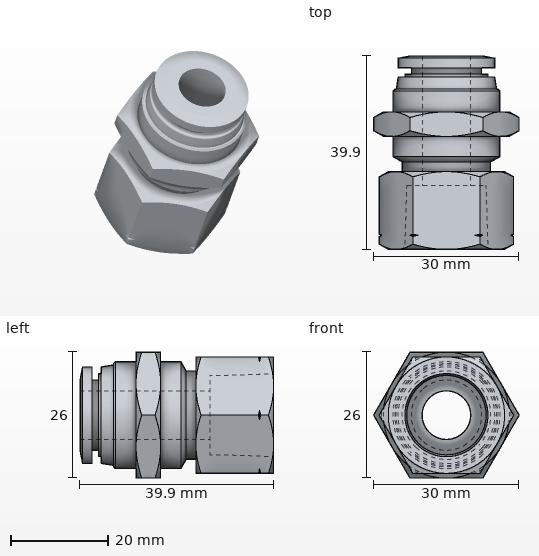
import cadquery as cq
import math

TOTAL_LENGTH = 39.85
CHAMFER_SLOPE = math.tan(math.radians(30))

END_FLATS = 24.0
END_LENGTH = 16.0
GROOVE_Y = 2.9
GROOVE_ROOT_RADIUS = 13.35
GROOVE_HALF_WIDTH = 0.25

NUT_FLATS = 26.0
NUT_START = 23.27
NUT_END = 28.35

NECK_RADIUS = 9.13
BODY_START = 18.0
BODY_RADIUS = 11.05
BODY_END = 33.0
BODY_EDGE_CHAMFER = 0.4
CAP_BASE_RADIUS = 10.35
CAP_TOP_RADIUS = 9.95
CAP_EDGE_ROUND = 0.3
CAP_END = 35.55
COLLAR_RADIUS = 8.55
COLLAR_END = 36.1

STEM_RADIUS = 7.25
FLANGE_START = 37.38
FLANGE_RADIUS = 9.95
FLANGE_RIM_END = 39.37
FLANGE_FACE_RADIUS = 7.5

THREAD_MOUTH_RADIUS = 8.55
THREAD_ROOT_RADIUS = 8.15
THREAD_DEPTH = 13.15
BORE_RADIUS = 5.0


def revolve_profile(points):
    """Revolve a closed (radius, y) outline about the Y axis."""
    outline = cq.Workplane("XY").polyline(points).close()
    return outline.revolve(360, (0, 0, 0), (0, 1, 0))


def chamfered_hexagon(flats, start, end):
    """Hexagonal prism along Y, corners on X, with both ends turned conical."""
    face_radius = flats / 2
    corner_radius = face_radius / math.cos(math.radians(30))
    chamfer_height = (corner_radius - face_radius) * CHAMFER_SLOPE
    prism = (
        cq.Workplane("XZ", origin=(0, start, 0))
        .polygon(6, 2 * corner_radius)
        .extrude(start - end)
    )
    envelope = revolve_profile([
        (0, start),
        (face_radius, start),
        (corner_radius, start + chamfer_height),
        (corner_radius, end - chamfer_height),
        (face_radius, end),
        (0, end),
    ])
    return prism.intersect(envelope)


def corner_groove():
    """V-shaped ring that nicks only the corners of the female end."""
    outer_radius = END_FLATS / 2 / math.cos(math.radians(30))
    return revolve_profile([
        (GROOVE_ROOT_RADIUS, GROOVE_Y),
        (outer_radius, GROOVE_Y - GROOVE_HALF_WIDTH),
        (outer_radius, GROOVE_Y + GROOVE_HALF_WIDTH),
    ])


def turned_body():
    """Neck, cylindrical body, collar and release ring."""
    lead_height = (BODY_RADIUS - NECK_RADIUS) * CHAMFER_SLOPE
    return revolve_profile([
        (0, 0),
        (NECK_RADIUS, 0),
        (NECK_RADIUS, BODY_START),
        (BODY_RADIUS, BODY_START + lead_height),
        (BODY_RADIUS, BODY_END - BODY_EDGE_CHAMFER),
        (BODY_RADIUS - BODY_EDGE_CHAMFER, BODY_END),
        (COLLAR_RADIUS, BODY_END),
        (COLLAR_RADIUS, COLLAR_END),
        (STEM_RADIUS, COLLAR_END),
        (STEM_RADIUS, FLANGE_START),
        (FLANGE_RADIUS, FLANGE_START),
        (FLANGE_RADIUS, FLANGE_RIM_END),
        (FLANGE_FACE_RADIUS, TOTAL_LENGTH),
        (0, TOTAL_LENGTH),
    ])


def tapered_cap():
    """Tapered cap seated on the body, with its upper edge rounded."""
    cap = revolve_profile([
        (0, BODY_END),
        (CAP_BASE_RADIUS, BODY_END),
        (CAP_TOP_RADIUS, CAP_END),
        (0, CAP_END),
    ])
    return cap.faces(">Y").edges().fillet(CAP_EDGE_ROUND)


def bores():
    """Tapered thread bore stepping down to the through bore."""
    return revolve_profile([
        (0, 0),
        (THREAD_MOUTH_RADIUS, 0),
        (THREAD_ROOT_RADIUS, THREAD_DEPTH),
        (BORE_RADIUS, THREAD_DEPTH),
        (BORE_RADIUS, TOTAL_LENGTH),
        (0, TOTAL_LENGTH),
    ])


female_end = chamfered_hexagon(END_FLATS, 0, END_LENGTH).cut(corner_groove())
panel_nut = chamfered_hexagon(NUT_FLATS, NUT_START, NUT_END)
outer_shape = turned_body().union(tapered_cap()).union(female_end).union(panel_nut)
result = outer_shape.cut(bores())